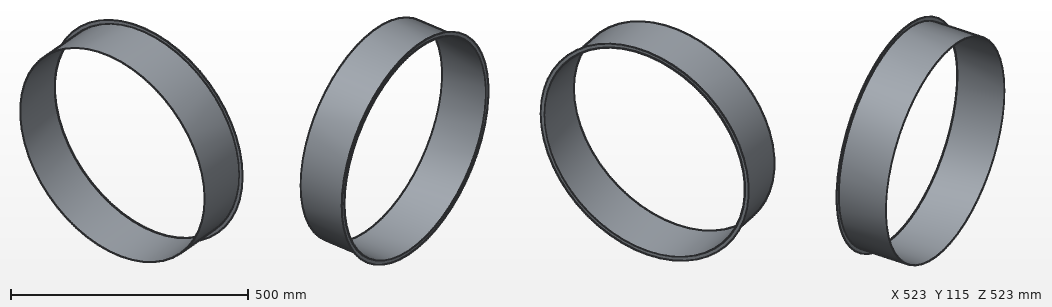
import cadquery as cq

flange_diameter = 523.0
sleeve_outer_diameter = 505.5
sleeve_inner_diameter = 503.5
total_length = 115.0
flange_thickness = 1.3

front_plane = cq.Workplane("XZ")
sleeve = front_plane.circle(sleeve_outer_diameter / 2).extrude(-total_length)

flange_start = total_length - flange_thickness
flange = (
    front_plane.workplane(offset=-flange_start)
    .circle(flange_diameter / 2)
    .extrude(-flange_thickness)
)

bore = front_plane.circle(sleeve_inner_diameter / 2).extrude(-total_length)

result = sleeve.union(flange).cut(bore)